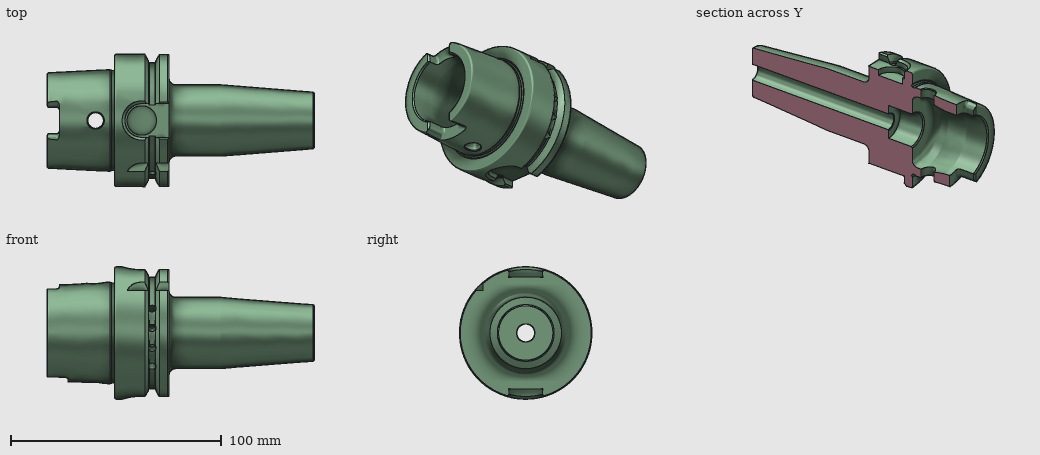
import cadquery as cq
import math


shank_length = 32.0
taper_large_radius = 24.2
taper_half_angle = math.atan(1 / 20)
taper_end = -2.0
shank_edge_radius = 1.0

neck_start = -1.3
neck_end = -0.45
neck_radius = 23.8
undercut_radius = 0.85
undercut_rim_radius = 25.3

flange_radius = 31.5
flange_length = 26.0
flange_front_fillet = 1.0
flange_back_chamfer_length = 0.7
flange_back_chamfer_height = 0.4

groove_center = 17.9
groove_mouth_width = 7.0
groove_floor_width = 3.3
groove_floor_radius = 27.5
groove_floor_fillet = 0.35
groove_wall_angle = math.radians(30)

nose_end = 95.0
nose_radius = 17.0
nose_tip_radius = 13.5
nose_taper_start = 50.5
nose_root_fillet = 3.0
nose_tip_chamfer = 0.6

bore_mouth_radius = 17.0
bore_mouth_chamfer = 0.65
relief_start = -19.4
relief_radius = 19.2
relief_wall_angle = math.radians(10)
relief_floor_fillet = 3.2
bore_floor = 0.0
thread_radius = 8.8
thread_chamfer = 0.6
thread_end = 14.0
through_radius = 4.2
through_chamfer = 0.3

access_x = -8.95
access_radius = 3.7
access_rim_chamfer = 0.45

key_half_width = 12.54 / 2
key_flare_radius = 3.0
key_flare_top = 21.0
key_cut_top = 30.0
key_mouth_widening = 1.1
key_mouth_depth = 0.5
key_floor_fillet = 1.4
key_depth_top = 5.8
key_depth_bottom = 9.9

slot_half_width = 8.0
slot_center_x = 13.0
slot_floor = 26.5
slot_rim_chamfer = 1.35
slot_back_rim_chamfer = 0.9
chip_recess_radius = 7.0
chip_recess_depth = 3.0

notch_edge = 20.2
notch_cutter_radius = 8.0

balance_radius = 1.75
balance_depth = 8.0
balance_point_angle = math.radians(118)
balance_angles = (25, 5, -15, -35)

overlap = 1.0


def revolve_about_x(points):
    """Solid of revolution about X from (x, radius) points."""
    return cq.Workplane("XY").polyline(points).close().revolve(360, (0, 0, 0), (1, 0, 0))


def facing(cutter, side):
    """Turn a cutter made for the +Z side to the -Z side when side is -1."""
    return cutter if side > 0 else cutter.rotate((0, 0, 0), (1, 0, 0), 180)


def shank():
    """Solid taper shank with the access hole through it; its root sits inside the flange."""
    small_radius = taper_large_radius - (shank_length + taper_end) * math.tan(taper_half_angle)
    body = revolve_about_x([
        (-shank_length, 0),
        (-shank_length, small_radius),
        (taper_end, taper_large_radius),
        (neck_start, neck_radius),
        (overlap, neck_radius),
        (overlap, 0),
    ])
    body = body.faces("<X").edges().fillet(shank_edge_radius)
    hole = cq.Workplane("XY").circle(access_radius).extrude(key_cut_top, both=True)
    body = body.cut(hole.translate((access_x, 0, 0)))
    rim_reach = 2 * access_radius
    for side in (1, -1):
        rim = cq.selectors.BoxSelector(
            (access_x - rim_reach, -rim_reach, side * bore_mouth_radius),
            (access_x + rim_reach, rim_reach, side * key_cut_top),
        )
        body = body.edges(rim).edges("not %LINE").chamfer(access_rim_chamfer)
    return body


def key_slot(depth, side):
    """Cutter for one key slot, with flared walls and a bevelled mouth; side is +1 for +Z, -1 for -Z."""
    flare_start = key_flare_top - key_flare_radius
    flare_end = key_half_width + key_flare_radius
    mid = key_flare_radius * math.sqrt(0.5)
    slot = (
        cq.Workplane("YZ", origin=(-shank_length - overlap, 0, 0))
        .moveTo(-key_half_width, 0)
        .lineTo(key_half_width, 0)
        .lineTo(key_half_width, flare_start)
        .threePointArc((flare_end - mid, flare_start + mid), (flare_end, key_flare_top))
        .lineTo(flare_end, key_cut_top)
        .lineTo(-flare_end, key_cut_top)
        .lineTo(-flare_end, key_flare_top)
        .threePointArc((mid - flare_end, flare_start + mid), (-key_half_width, flare_start))
        .close()
        .extrude(depth + overlap)
    )
    slot = slot.faces(">X").edges("not(>Z or <Z)").fillet(key_floor_fillet)
    mouth_half_width = key_half_width + key_mouth_widening
    mouth = (
        cq.Workplane("XY")
        .polyline([
            (-shank_length, -mouth_half_width),
            (-shank_length + key_mouth_depth, -key_half_width),
            (-shank_length + key_mouth_depth, key_half_width),
            (-shank_length, mouth_half_width),
        ])
        .close()
        .extrude(key_cut_top)
    )
    return facing(slot.union(mouth), side)


def flange():
    """Plain flange with its front fillet and its back chamfer."""
    body = cq.Workplane("YZ").circle(flange_radius).extrude(flange_length)
    body = body.faces("<X").edges().fillet(flange_front_fillet)
    body = body.cut(revolve_about_x([
        (flange_length - flange_back_chamfer_length, flange_radius),
        (flange_length, flange_radius - flange_back_chamfer_height),
        (flange_length, flange_radius),
    ]))
    return body


def undercut():
    """Rounded groove at the root of the taper that bites into the flange face."""
    corner_radius = neck_radius + undercut_radius
    mid = undercut_radius * math.sqrt(0.5)
    return (
        cq.Workplane("XY")
        .moveTo(neck_end, neck_radius)
        .threePointArc((neck_end + mid, corner_radius - mid), (neck_end + undercut_radius, corner_radius))
        .lineTo(0, undercut_rim_radius)
        .lineTo(neck_end, undercut_rim_radius)
        .close()
        .revolve(360, (0, 0, 0), (1, 0, 0))
    )


def open_slot(center_y, radius, floor):
    """Cutter for a flat-floored slot with a round front end, running out through the back of the flange."""
    run = flange_length + overlap - slot_center_x
    base = cq.Workplane("XY", origin=(slot_center_x, center_y, floor))
    round_end = base.circle(radius).extrude(flange_radius)
    return round_end.union(base.center(run / 2, 0).rect(run, 2 * radius).extrude(flange_radius))


def bevel_slot_rim(body, side):
    """Chamfer the rim of a drive slot, in front of and behind the gripper groove."""
    reach = slot_half_width + overlap
    rim_low = (slot_floor + flange_radius) / 2
    front = (0, groove_center, slot_rim_chamfer)
    back = (groove_center, flange_length - flange_back_chamfer_length, slot_back_rim_chamfer)
    for start, end, size in (front, back):
        rim = cq.selectors.BoxSelector(
            (start, -reach, side * rim_low),
            (end, reach, side * (flange_radius + overlap)),
        )
        body = body.edges(rim).edges("%LINE and |X or (not %LINE)").chamfer(size)
    return body


def chip_recess():
    """Shallow round recess in the floor of the +Z drive slot."""
    return (
        cq.Workplane("XY", origin=(slot_center_x, 0, slot_floor - chip_recess_depth))
        .circle(chip_recess_radius)
        .extrude(chip_recess_depth)
    )


def gripper_groove():
    """Ring cutter with sloped upper walls, straight lower walls and a flat floor."""
    mouth = groove_mouth_width / 2
    floor = groove_floor_width / 2
    wall_foot = flange_radius - (mouth - floor) / math.tan(groove_wall_angle)
    floor_corner = groove_floor_radius + groove_floor_fillet
    floor_flat = floor - groove_floor_fillet
    mid = groove_floor_fillet * (1 - math.sqrt(0.5))
    outside = flange_radius + overlap
    profile = (
        cq.Workplane("XY", origin=(groove_center, 0, 0))
        .moveTo(-mouth, outside)
        .lineTo(-mouth, flange_radius)
        .lineTo(-floor, wall_foot)
        .lineTo(-floor, floor_corner)
        .threePointArc((mid - floor, groove_floor_radius + mid), (-floor_flat, groove_floor_radius))
        .lineTo(floor_flat, groove_floor_radius)
        .threePointArc((floor - mid, groove_floor_radius + mid), (floor, floor_corner))
        .lineTo(floor, wall_foot)
        .lineTo(mouth, flange_radius)
        .lineTo(mouth, outside)
        .close()
    )
    return profile.revolve(360, (0, 0, 0), (1, 0, 0))


def balance_hole(angle):
    """Drilled hole pointing at the axis; angle is measured from -Y towards +Z."""
    point = balance_radius / math.tan(balance_point_angle / 2)
    outer = flange_radius
    floor = groove_floor_radius - balance_depth
    drill = (
        cq.Workplane("XY")
        .polyline([(0, -outer), (balance_radius, -outer), (balance_radius, -floor), (0, point - floor)])
        .close()
        .revolve(360, (0, 0, 0), (0, 1, 0))
    )
    return drill.translate((groove_center, 0, 0)).rotate((0, 0, 0), (1, 0, 0), -angle)


def nose():
    """Solid nose: rounded root, straight part, taper and bevelled tip."""
    mid = nose_root_fillet * (1 - math.sqrt(0.5))
    profile = (
        cq.Workplane("XY")
        .moveTo(flange_length - overlap, 0)
        .lineTo(flange_length - overlap, nose_radius + nose_root_fillet)
        .lineTo(flange_length, nose_radius + nose_root_fillet)
        .threePointArc(
            (flange_length + mid, nose_radius + mid),
            (flange_length + nose_root_fillet, nose_radius),
        )
        .lineTo(nose_taper_start, nose_radius)
        .lineTo(nose_end - nose_tip_chamfer, nose_tip_radius)
        .lineTo(nose_end, nose_tip_radius - nose_tip_chamfer)
        .lineTo(nose_end, 0)
        .close()
    )
    return profile.revolve(360, (0, 0, 0), (1, 0, 0))


def central_bore():
    """Bore from the shank mouth to the nose tip, widened by a relief behind the mouth."""
    mouth = -shank_length
    relief_full = relief_start + (relief_radius - bore_mouth_radius) / math.tan(relief_wall_angle)
    fillet_start = bore_floor - relief_floor_fillet
    mid = relief_floor_fillet * (1 - math.sqrt(0.5))
    profile = (
        cq.Workplane("XY")
        .moveTo(mouth, 0)
        .lineTo(mouth, bore_mouth_radius + bore_mouth_chamfer)
        .lineTo(mouth + bore_mouth_chamfer, bore_mouth_radius)
        .lineTo(relief_start, bore_mouth_radius)
        .lineTo(relief_full, relief_radius)
        .lineTo(fillet_start, relief_radius)
        .threePointArc(
            (bore_floor - mid, relief_radius - mid),
            (bore_floor, relief_radius - relief_floor_fillet),
        )
        .lineTo(bore_floor, thread_radius + thread_chamfer)
        .lineTo(bore_floor + thread_chamfer, thread_radius)
        .lineTo(thread_end, thread_radius)
        .lineTo(thread_end, through_radius + through_chamfer)
        .lineTo(thread_end + through_chamfer, through_radius)
        .lineTo(nose_end, through_radius)
        .lineTo(nose_end, 0)
        .close()
    )
    return profile.revolve(360, (0, 0, 0), (1, 0, 0))


shank_body = shank()
shank_body = shank_body.cut(key_slot(key_depth_top, 1)).cut(key_slot(key_depth_bottom, -1))

flange_body = flange().cut(gripper_groove())
drive_slot = open_slot(0, slot_half_width, slot_floor)
for side in (1, -1):
    flange_body = bevel_slot_rim(flange_body.cut(facing(drive_slot, side)), side)
flange_body = flange_body.cut(chip_recess())
flange_body = flange_body.cut(
    open_slot(-notch_edge - notch_cutter_radius, notch_cutter_radius, notch_edge)
)
for angle in balance_angles:
    flange_body = flange_body.cut(balance_hole(angle))

result = shank_body.union(flange_body).union(nose()).cut(undercut()).cut(central_bore())